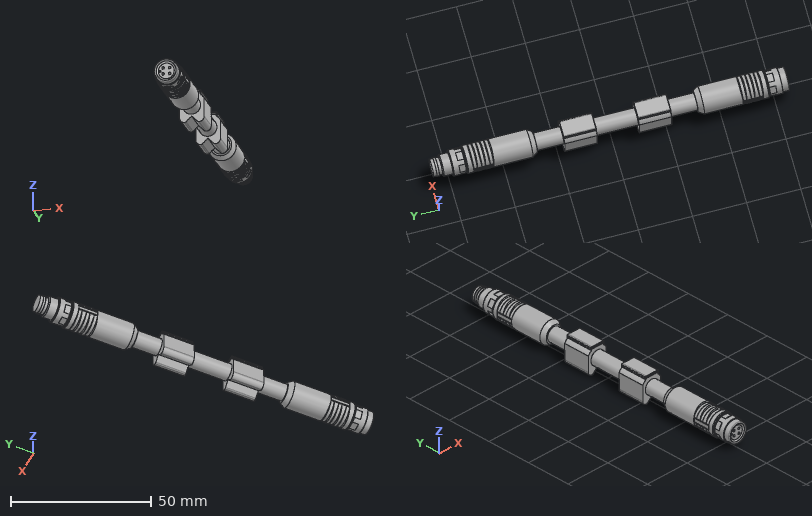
import cadquery as cq
import math


TOTAL_LENGTH = 131.25
FEMALE_END = -TOTAL_LENGTH / 2
MALE_END = TOTAL_LENGTH / 2
CABLE_DIA = 6.5

BODY_DIA = 10.3
BODY_LENGTH = 24.1
BODY_TAPER = 2.0
BODY_TAIL_DIA = 7.8
BODY_FRONT_CHAMFER = 0.3
GROOVE_COUNT = 3
FIRST_GROOVE = 2.95
GROOVE_PITCH = 3.05
GROOVE_RIM_WIDTH = 2.0
GROOVE_FLOOR_WIDTH = 1.2
GROOVE_DEPTH = 0.35
GROOVE_OFFSET = 0.42
SIDE_SLOT_START = 2.3
SIDE_SLOT_END = 9.7
SIDE_SLOT_HEIGHT = 1.9
SIDE_SLOT_DISTANCE = 4.7
CUT_MARGIN = 1.0

COLLAR_DIA = 9.6
HEX_ACROSS_FLATS = 9.08
HEX_LENGTH = 2.35
HEX_SIDES = 6
HEX_TURN = 30
NECK_DIA = 9.0
NECK_LENGTH = 0.4

FEMALE_SHOULDER = 7.6
FEMALE_NOSE_DIA = 8.8
FEMALE_NOSE_LENGTH = 2.6
FEMALE_BORE_DIA = 7.2
FEMALE_BORE_DEPTH = 0.45
SOCKET_FACE_DIA = 5.8
SOCKET_FACE_DEPTH = 0.8
KEYWAY_WIDTH = 0.5
KEYWAY_LENGTH = 0.8
KEYWAY_DEPTH = 0.8
SOCKET_DIA = 0.9
SOCKET_DEPTH = 3.0
SOCKET_POINTS = ((-1.2, 1.2), (1.2, 1.2), (-1.2, -1.0), (1.2, -1.0))
LIP_ROUNDING = 0.35

MALE_SHOULDER = 12.1
MALE_BARREL_START = 3.3
MALE_COLLAR_START = 6.9
MALE_TIP_DIA = 6.5
MALE_BARREL_DIA = 8.0
MALE_BARREL_CHAMFER = 0.4
MALE_COLLAR_CHAMFER = 0.3
SEAL_START = 1.2
SEAL_END = 2.1
SEAL_DIA = 6.9

CLIP_LENGTH = 12.0
CLIP_CENTERS = (-16.0, 11.5)
CLIP_TOP = 5.8
CLIP_HEIGHT = 11.99
CLIP_BOTTOM = CLIP_TOP - CLIP_HEIGHT
CLIP_HALF_WIDTH = 4.55
CLIP_SHELL_RADIUS = 5.25
CLIP_FOOT_RADIUS = 1.9
CLIP_LIP_RADIUS = 0.8
HOLDER_WIDTH = 6.8
HOLDER_HEIGHT = 1.5
HOLDER_ROUNDING = 0.55
PLATE_THICKNESS = 0.5
WINDOW_WIDTH = 6.0
WINDOW_HEIGHT = 0.5
NOTCH_APEX = -3.95
NOTCH_ANGLE = 45


def cylinder(start, end, diameter):
    """Solid cylinder on the Y axis between two Y positions."""
    length = abs(end - start)
    disc = cq.Workplane("XZ", origin=(0, max(start, end), 0)).circle(diameter / 2)
    return disc.extrude(length)


def half_groove(middle, side):
    """Cutter for a tapered groove, deepest at +Z or -Z and running out towards the X sides."""
    floor_radius = BODY_DIA / 2 - GROOVE_DEPTH + GROOVE_OFFSET
    widening = (GROOVE_RIM_WIDTH - GROOVE_FLOOR_WIDTH) / (2 * GROOVE_DEPTH)
    cut_depth = GROOVE_DEPTH + CUT_MARGIN
    cut_radius = floor_radius + cut_depth
    half_floor = GROOVE_FLOOR_WIDTH / 2
    half_mouth = half_floor + widening * cut_depth
    profile = [
        (floor_radius, middle - half_floor),
        (cut_radius, middle - half_mouth),
        (cut_radius, middle + half_mouth),
        (floor_radius, middle + half_floor),
    ]
    half_turn_axis = (0, -side, 0)
    cutter = cq.Workplane("XY").polyline(profile).close().revolve(180, (0, 0, 0), half_turn_axis)
    return cutter.translate((0, 0, -side * GROOVE_OFFSET))


def grip_body(shoulder, direction):
    """Grip body from its shoulder back along direction (+1 or -1 in Y)."""

    def at(distance):
        return shoulder + direction * distance

    taper_end = BODY_LENGTH + BODY_TAPER
    outline = [
        (0, at(0)),
        (BODY_DIA / 2 - BODY_FRONT_CHAMFER, at(0)),
        (BODY_DIA / 2, at(BODY_FRONT_CHAMFER)),
        (BODY_DIA / 2, at(BODY_LENGTH)),
        (BODY_TAIL_DIA / 2, at(taper_end)),
        (0, at(taper_end)),
    ]
    body = cq.Workplane("XY").polyline(outline).close().revolve(360, (0, 0, 0), (0, 1, 0))
    for index in range(GROOVE_COUNT):
        middle = at(FIRST_GROOVE + index * GROOVE_PITCH)
        for side in (-1, 1):
            body = body.cut(half_groove(middle, side))

    slot_middle = at((SIDE_SLOT_START + SIDE_SLOT_END) / 2)
    slot_length = SIDE_SLOT_END - SIDE_SLOT_START
    for side in (-1, 1):
        slot = cq.Workplane("XY").box(CUT_MARGIN, slot_length, SIDE_SLOT_HEIGHT)
        slot_x = side * (SIDE_SLOT_DISTANCE + CUT_MARGIN / 2)
        body = body.cut(slot.translate((slot_x, slot_middle, 0)))
    return body


def hex_collar(front, shoulder):
    """Collar between its front face and the grip shoulder, with wrench flats and a neck."""
    direction = math.copysign(1, shoulder - front)
    neck_start = shoulder - direction * NECK_LENGTH
    hex_start = neck_start - direction * HEX_LENGTH
    flats = (
        cq.Workplane("XZ", origin=(0, max(hex_start, neck_start), 0))
        .transformed(rotate=(0, 0, HEX_TURN))
        .polygon(HEX_SIDES, HEX_ACROSS_FLATS, circumscribed=True)
        .extrude(HEX_LENGTH)
    )
    flats = flats.intersect(cylinder(hex_start, neck_start, COLLAR_DIA))
    collar = cylinder(front, hex_start, COLLAR_DIA)
    return collar.union(flats).union(cylinder(neck_start, shoulder, NECK_DIA))


def female_plug():
    shoulder = FEMALE_END + FEMALE_SHOULDER
    nose_end = FEMALE_END + FEMALE_NOSE_LENGTH
    bore_end = FEMALE_END + FEMALE_BORE_DEPTH
    socket_face = FEMALE_END + SOCKET_FACE_DEPTH

    nose = cylinder(FEMALE_END, nose_end, FEMALE_NOSE_DIA)
    nose = nose.cut(cylinder(FEMALE_END, bore_end, FEMALE_BORE_DIA))
    nose = nose.faces("<Y").edges().fillet(LIP_ROUNDING)

    funnel_outline = [
        (0, bore_end),
        (FEMALE_BORE_DIA / 2, bore_end),
        (SOCKET_FACE_DIA / 2, socket_face),
        (0, socket_face),
    ]
    funnel = cq.Workplane("XY").polyline(funnel_outline).close().revolve(360, (0, 0, 0), (0, 1, 0))
    plug = nose.cut(funnel).union(hex_collar(nose_end, shoulder)).union(grip_body(shoulder, 1))

    sockets = (
        cq.Workplane("XZ", origin=(0, socket_face + SOCKET_DEPTH, 0))
        .pushPoints(SOCKET_POINTS)
        .circle(SOCKET_DIA / 2)
        .extrude(SOCKET_DEPTH)
    )
    keyway = cq.Workplane("XY").box(KEYWAY_LENGTH, KEYWAY_DEPTH, KEYWAY_WIDTH)
    keyway_x = (KEYWAY_LENGTH - SOCKET_FACE_DIA) / 2
    keyway = keyway.translate((keyway_x, socket_face + KEYWAY_DEPTH / 2, 0))
    return plug.cut(sockets).cut(keyway)


def male_plug():
    shoulder = MALE_END - MALE_SHOULDER
    barrel_start = MALE_END - MALE_BARREL_START
    collar_start = MALE_END - MALE_COLLAR_START

    tip = cylinder(MALE_END, barrel_start, MALE_TIP_DIA)
    seal = cylinder(MALE_END - SEAL_START, MALE_END - SEAL_END, SEAL_DIA)
    barrel = cylinder(barrel_start, collar_start, MALE_BARREL_DIA)
    barrel = barrel.faces(">Y").edges().chamfer(MALE_BARREL_CHAMFER)
    collar = hex_collar(collar_start, shoulder)
    collar = collar.faces(">Y").edges().chamfer(MALE_COLLAR_CHAMFER)
    return tip.union(seal).union(barrel).union(collar).union(grip_body(shoulder, -1))


def clip(center):
    """Clip around the cable.

    A rounded shell stands on two rounded feet beside a V notch. On top sits a holder
    with rounded edges, with a thin plate above a window that runs through along Y.
    """
    corner_z = math.sqrt(CLIP_SHELL_RADIUS**2 - CLIP_HALF_WIDTH**2)
    foot_x = CLIP_HALF_WIDTH - CLIP_FOOT_RADIUS
    foot_z = CLIP_BOTTOM + CLIP_FOOT_RADIUS
    diagonal = math.sin(math.radians(NOTCH_ANGLE))
    foot_mid = (foot_x + CLIP_FOOT_RADIUS * diagonal, foot_z - CLIP_FOOT_RADIUS * diagonal)

    lip_z = CLIP_BOTTOM + CLIP_LIP_RADIUS
    lip_end = (foot_x - CLIP_LIP_RADIUS * diagonal, lip_z - CLIP_LIP_RADIUS * diagonal)
    lip_turn = math.radians(NOTCH_ANGLE / 2)
    lip_mid = (foot_x - CLIP_LIP_RADIUS * math.sin(lip_turn), lip_z - CLIP_LIP_RADIUS * math.cos(lip_turn))

    def mirrored(point):
        return (-point[0], point[1])

    shell = (
        cq.Workplane("XZ", origin=(0, center + CLIP_LENGTH / 2, 0))
        .moveTo(-CLIP_HALF_WIDTH, corner_z)
        .threePointArc((0, CLIP_SHELL_RADIUS), (CLIP_HALF_WIDTH, corner_z))
        .lineTo(CLIP_HALF_WIDTH, foot_z)
        .threePointArc(foot_mid, (foot_x, CLIP_BOTTOM))
        .threePointArc(lip_mid, lip_end)
        .lineTo(0, NOTCH_APEX)
        .lineTo(*mirrored(lip_end))
        .threePointArc(mirrored(lip_mid), (-foot_x, CLIP_BOTTOM))
        .threePointArc(mirrored(foot_mid), (-CLIP_HALF_WIDTH, foot_z))
        .close()
        .extrude(CLIP_LENGTH)
    )
    holder = (
        cq.Workplane("XY")
        .box(HOLDER_WIDTH, CLIP_LENGTH, HOLDER_HEIGHT)
        .edges("|Y")
        .fillet(HOLDER_ROUNDING)
        .translate((0, center, CLIP_TOP - HOLDER_HEIGHT / 2))
    )
    window = cq.Workplane("XY").box(WINDOW_WIDTH, CLIP_LENGTH, WINDOW_HEIGHT)
    window_z = CLIP_TOP - PLATE_THICKNESS - WINDOW_HEIGHT / 2
    return shell.union(holder).cut(window.translate((0, center, window_z)))


result = cylinder(FEMALE_END + FEMALE_SHOULDER, MALE_END - MALE_SHOULDER, CABLE_DIA)
result = result.union(female_plug()).union(male_plug())
for clip_center in CLIP_CENTERS:
    result = result.union(clip(clip_center))